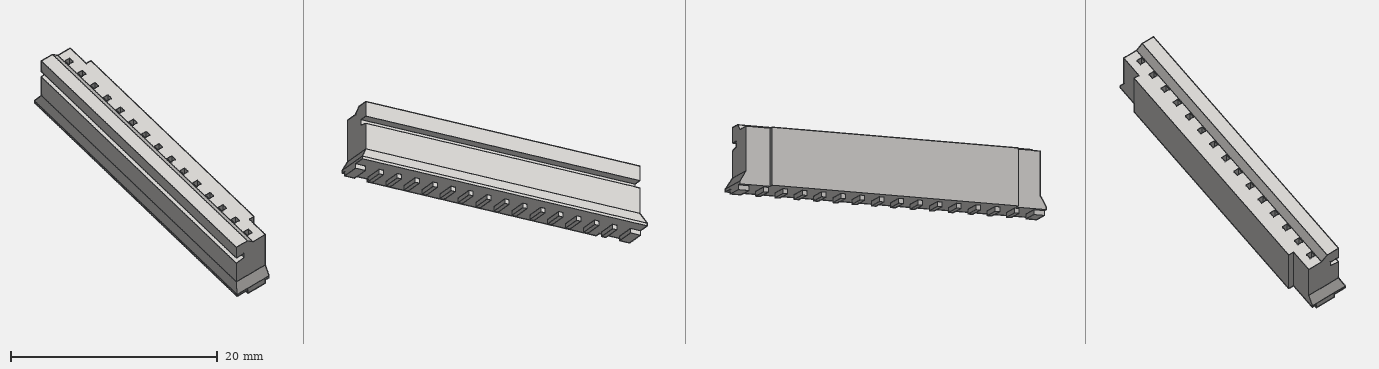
import cadquery as cq

LENGTH = 31.8
DEPTH = 4.5
HEIGHT = 6.85

FOOT_HEIGHT = 0.48
FOOT_BACK_INSET = 1.05
FOOT_DEPTH = 2.13
END_FOOT_WIDTH = 1.1
INNER_FOOT_WIDTH = 0.48

RIM_TOP = 0.75
FLARE_TOP = 1.8
END_FLARE = 0.6
FRONT_FLARE = 0.38

SHELF_TOP = 6.23
RIDGE_WIDTH = 1.37
RAMP_RUN = 0.67
GROOVE_DEPTH = 0.95
GROOVE_TOP = 5.28
GROOVE_FLOOR_INNER = 4.7
GROOVE_FLOOR_OUTER = 4.5

PAD_THICKNESS = 0.57
PAD_LENGTH = 25.57

SOCKET_COUNT = 15
PITCH = 2.0
SOCKET_SIZE = 0.57
SOCKET_BACK_INSET = 1.43
SOCKET_DEPTH = 1.9

FRONT = -DEPTH / 2
BACK = DEPTH / 2
BODY_LENGTH = LENGTH - 2 * END_FLARE
BODY_FRONT = FRONT + FRONT_FLARE
BODY_BACK = BACK - PAD_THICKNESS
RIDGE_BACK = BODY_FRONT + RIDGE_WIDTH
RAMP_FOOT = RIDGE_BACK + RAMP_RUN
GROOVE_BACK = BODY_FRONT + GROOVE_DEPTH


def box(x_center, width, y_front, y_back, z_bottom, z_top):
    """Upright box centred on x_center between the given Y and Z limits."""
    return (
        cq.Workplane("XY")
        .box(width, y_back - y_front, z_top - z_bottom, centered=(True, False, False))
        .translate((x_center, y_front, z_bottom))
    )


def row(count):
    """X positions of evenly pitched items centred on the part."""
    first = -(count - 1) * PITCH / 2
    return [first + i * PITCH for i in range(count)]


def make_body():
    """Constant section with a ramped ridge on top and a groove along the front."""
    outline = [
        (BODY_BACK, FOOT_HEIGHT),
        (BODY_BACK, SHELF_TOP),
        (RAMP_FOOT, SHELF_TOP),
        (RIDGE_BACK, HEIGHT),
        (BODY_FRONT, HEIGHT),
        (BODY_FRONT, GROOVE_TOP),
        (GROOVE_BACK, GROOVE_TOP),
        (GROOVE_BACK, GROOVE_FLOOR_INNER),
        (BODY_FRONT, GROOVE_FLOOR_OUTER),
        (BODY_FRONT, FOOT_HEIGHT),
    ]
    return cq.Workplane("YZ").polyline(outline).close().extrude(BODY_LENGTH / 2, both=True)


def make_base():
    """Flange flared outward at the front and both ends, flush with the body at the back."""
    rim = box(0, LENGTH, FRONT, BODY_BACK, FOOT_HEIGHT, RIM_TOP)
    rim_outline = [
        (-LENGTH / 2, FRONT),
        (LENGTH / 2, FRONT),
        (LENGTH / 2, BODY_BACK),
        (-LENGTH / 2, BODY_BACK),
    ]
    body_outline = [
        (-BODY_LENGTH / 2, BODY_FRONT),
        (BODY_LENGTH / 2, BODY_FRONT),
        (BODY_LENGTH / 2, BODY_BACK),
        (-BODY_LENGTH / 2, BODY_BACK),
    ]
    flare = (
        cq.Workplane("XY", origin=(0, 0, RIM_TOP))
        .polyline(rim_outline)
        .close()
        .workplane(offset=FLARE_TOP - RIM_TOP)
        .polyline(body_outline)
        .close()
        .loft(ruled=True)
    )
    return rim.union(flare)


def make_foot(x_center, width):
    """Foot running up through the rim so that it fuses with the base."""
    y_back = BACK - FOOT_BACK_INSET
    return box(x_center, width, y_back - FOOT_DEPTH, y_back, 0, RIM_TOP)


def make_socket(x_center):
    """Blind square pocket going down from the shelf."""
    y_back = BACK - SOCKET_BACK_INSET
    return box(
        x_center, SOCKET_SIZE, y_back - SOCKET_SIZE, y_back, SHELF_TOP - SOCKET_DEPTH, SHELF_TOP
    )


result = make_body().union(make_base())
result = result.union(box(0, PAD_LENGTH, BODY_BACK, BACK, FOOT_HEIGHT, SHELF_TOP))

for side in (-1, 1):
    result = result.union(make_foot(side * (LENGTH - END_FOOT_WIDTH) / 2, END_FOOT_WIDTH))
for x in row(SOCKET_COUNT - 1):
    result = result.union(make_foot(x, INNER_FOOT_WIDTH))

for x in row(SOCKET_COUNT):
    result = result.cut(make_socket(x))